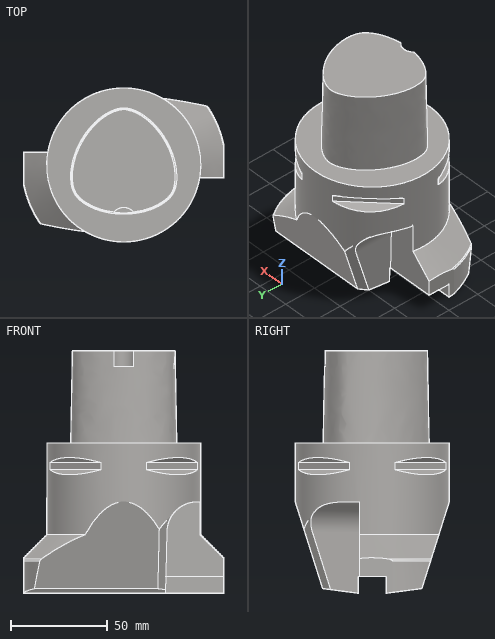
import cadquery as cq
import math

total_height = 126.0
flange_z = 78.1
body_radius = 80.0 / 2
reach = 252.0

half_span = 104.0 / 2
wing_radius = 53.0
wing_cone_top_z = 30.5
wing_cone_bottom_z = 17.8
wing_rim_z = 16.9

flat_top_z = 47.5
flat_slope = math.tan(math.radians(17.5))

slot_half_width = 7.2
slot_height = 8.7
bottom_slope = math.tan(math.radians(7.5))

pocket_face_y = 6.7
pocket_wall_x = 21.7
pocket_wall_lean = 0.8
pocket_arc_z = 31.8
pocket_top_z = 47.5
pocket_chamfer = 4.0

groove_z = 66.0
groove_floor_distance = 35.4
groove_floor_width = 3.7
groove_flank = math.tan(math.radians(30))

shank_base_radius = 27.6
shank_top_radius = 26.7
lobe_height = 2.0
lobe_samples = 48
notch_radius = 6.5
notch_depth_y = 22.0
notch_floor_z = 117.7


def flat_y(z):
    """Distance of the tilted flat from the XZ plane at height z."""
    return body_radius - (flat_top_z - z) * flat_slope


def both_sides(solid):
    """The solid together with its copy turned half a turn about Z."""
    return solid.union(solid.rotate((0, 0, 0), (0, 0, 1), 180))


def make_head():
    cone_edge_radius = body_radius + wing_cone_top_z - wing_cone_bottom_z
    profile = [
        (0, 0),
        (wing_radius, 0),
        (wing_radius, wing_rim_z),
        (cone_edge_radius, wing_cone_bottom_z),
        (body_radius, wing_cone_top_z),
        (body_radius, flange_z),
        (0, flange_z),
    ]
    head = cq.Workplane("XZ").polyline(profile).close().revolve(360, (0, 0, 0), (0, 1, 0))
    corner_y = (flat_y(0) - slot_half_width * bottom_slope * flat_slope) / (1 - bottom_slope * flat_slope)
    corner_z = (corner_y - slot_half_width) * bottom_slope
    half_section = [
        (slot_half_width, slot_height),
        (slot_half_width, 0),
        (corner_y, corner_z),
        (body_radius, flat_top_z),
        (body_radius, flange_z),
    ]
    mirrored = [(-y, z) for y, z in reversed(half_section)]
    section = cq.Workplane("YZ").polyline(half_section + mirrored).close()
    return head.intersect(section.extrude(half_span, both=True))


def make_pocket():
    wall_top_x = pocket_wall_x + pocket_wall_lean
    arc_radius = pocket_top_z - pocket_arc_z
    arc_center_x = wall_top_x + arc_radius
    arc_mid_offset = arc_radius * math.sqrt(0.5)
    return (
        cq.Workplane("XZ", origin=(0, -pocket_face_y, 0))
        .moveTo(pocket_wall_x, 0)
        .lineTo(wall_top_x, pocket_arc_z)
        .threePointArc(
            (arc_center_x - arc_mid_offset, pocket_arc_z + arc_mid_offset),
            (arc_center_x, pocket_top_z),
        )
        .lineTo(reach, pocket_top_z)
        .lineTo(reach, 0)
        .close()
        .extrude(reach)
    )


def make_pocket_chamfer():
    """Wedge breaking the edge between the pocket wall and the tilted flat."""

    def triangle(z):
        x = pocket_wall_x + pocket_wall_lean * z / pocket_arc_z
        y = -flat_y(z)
        return [
            (x - 2 * pocket_chamfer, y - pocket_chamfer),
            (x + pocket_chamfer, y - pocket_chamfer),
            (x + pocket_chamfer, y + 2 * pocket_chamfer),
        ]

    return (
        cq.Workplane("XY")
        .polyline(triangle(0)).close()
        .workplane(offset=flat_top_z)
        .polyline(triangle(flat_top_z)).close()
        .loft(ruled=True)
    )


def make_groove():
    depth = 2 * (body_radius - groove_floor_distance)
    floor = groove_floor_width / 2
    mouth = floor + depth * groove_flank
    outer = groove_floor_distance + depth
    return (
        cq.Workplane("XZ")
        .polyline([
            (groove_floor_distance, groove_z - floor),
            (groove_floor_distance, groove_z + floor),
            (outer, groove_z + mouth),
            (outer, groove_z - mouth),
        ])
        .close()
        .extrude(body_radius, both=True)
    )


def lobed_points(mean_radius):
    """Constant-width trochoid-like outline with one lobe toward +Y."""
    points = []
    for i in range(lobe_samples):
        angle = 2 * math.pi * i / lobe_samples
        phase = 3 * (angle - math.pi / 2)
        support = mean_radius + lobe_height * math.cos(phase)
        slope = -3 * lobe_height * math.sin(phase)
        points.append((
            support * math.cos(angle) - slope * math.sin(angle),
            support * math.sin(angle) + slope * math.cos(angle),
        ))
    return points


def make_shank():
    shank = (
        cq.Workplane("XY", origin=(0, 0, flange_z))
        .spline(lobed_points(shank_base_radius), periodic=True).close()
        .workplane(offset=total_height - flange_z)
        .spline(lobed_points(shank_top_radius), periodic=True).close()
        .loft(ruled=True)
    )
    notch = (
        cq.Workplane("XY", origin=(0, -notch_depth_y - notch_radius, notch_floor_z))
        .circle(notch_radius)
        .extrude(total_height - notch_floor_z)
    )
    return shank.cut(notch)


result = make_head()
result = result.cut(both_sides(make_pocket()))
result = result.cut(both_sides(make_pocket_chamfer()))
for groove_angle in (45, 135, 225, 315):
    result = result.cut(make_groove().rotate((0, 0, 0), (0, 0, 1), groove_angle))
result = result.union(make_shank())